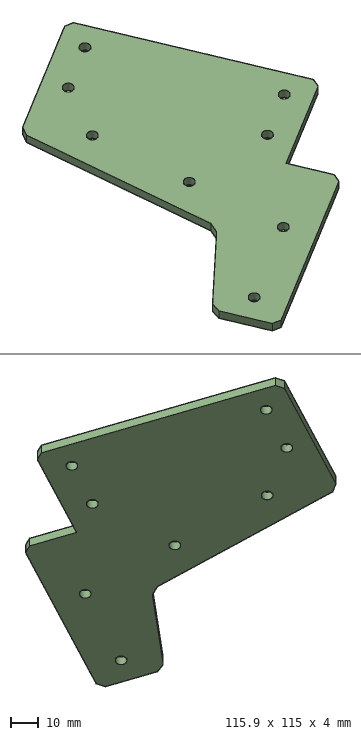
import cadquery as cq
import math

length = 115.9
width = 115.0
thickness = 4.0

panel_length = 95.2
step_height = 74.2
left_edge_bottom = 59.7
leg_bottom_left = 90.7
slant = math.tan(math.radians(15))
corner_chamfer = 2.5

hole_diameter = 4.2
edge_margin = 10.0
panel_hole_pitch_x = 74.8
panel_hole_pitch_y = 20.0
leg_hole_x = 103.3
leg_hole_pitch = 35.0
slanted_hole_xs = (25.0, 64.8, leg_hole_x)

elbow_x = (leg_bottom_left - slant * left_edge_bottom) / (1 - slant**2)
elbow_y = left_edge_bottom - slant * elbow_x


def make_plate():
    """Extrude the stepped outline and bevel every corner except the step."""
    outline = [
        (0, left_edge_bottom),
        (elbow_x, elbow_y),
        (leg_bottom_left, 0),
        (length, 0),
        (length, step_height),
        (panel_length, step_height),
        (panel_length, width),
        (0, width),
    ]
    plate = cq.Workplane("XY").polyline(outline).close().extrude(thickness)
    step_corner = cq.selectors.NearestToPointSelector(
        (panel_length, step_height, thickness / 2)
    )
    beveled_edges = cq.selectors.StringSyntaxSelector("|Z") - step_corner
    return plate.edges(beveled_edges).chamfer(corner_chamfer)


def hole_centers():
    """Four panel holes, three along the slant and one at the leg's end."""
    panel_top = width - edge_margin
    panel_holes = [
        (x, y)
        for x in (edge_margin, edge_margin + panel_hole_pitch_x)
        for y in (panel_top, panel_top - panel_hole_pitch_y)
    ]
    leg_hole_y = edge_margin + leg_hole_pitch
    slanted_holes = [
        (x, leg_hole_y + slant * (leg_hole_x - x)) for x in slanted_hole_xs
    ]
    return panel_holes + slanted_holes + [(leg_hole_x, edge_margin)]


hole_cutters = (
    cq.Workplane("XY")
    .pushPoints(hole_centers())
    .circle(hole_diameter / 2)
    .extrude(thickness)
)
result = make_plate().cut(hole_cutters)